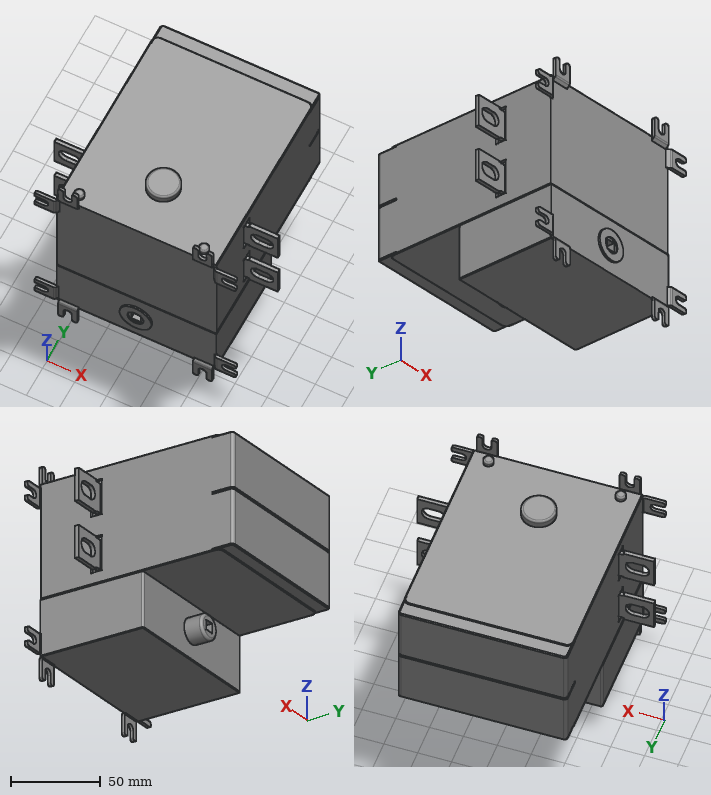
import cadquery as cq
import math


FEET_HEIGHT = 132.0
REAR_Y = 130.0
BODY_WIDTH = 100.0
HALF_WIDTH = BODY_WIDTH / 2

BODY_FRONT_Y = 2.2
BODY_BOTTOM_Z = 48.6
BODY_TOP_Z = 120.0
BODY_MID_Z = (BODY_BOTTOM_Z + BODY_TOP_Z) / 2
COVER_THICKNESS = 0.6
COVER_REAR_Y = 121.6
COVER_CORNER_RADIUS = 4.0
RIM_CHAMFER = 0.5
REAR_CORNER_RADIUS = 2.0
GROOVE_FRONT_Y = 116.1
POLE_RIM_CHAMFER = 0.7

DRIVE_FRONT_Y = 1.7
DRIVE_REAR_Y = 70.2
DRIVE_BOTTOM_Z = 13.2
DRIVE_REAR_RADIUS = 1.2

SHAFT_Z = 31.0
HUB_DIAMETER = 20.0
HUB_FRONT_Y = 0.5
SOCKET_DIAMETER = 10.0
SOCKET_DEPTH = 0.8
SQUARE_SIDE = 6.0
KNOB_DIAMETER = 16.0
KNOB_REAR_Y = 81.8
KNOB_FILLET = 1.7

BUTTON_DIAMETER = 20.0
BUTTON_Y = 34.8
BUTTON_HEIGHT = 5.0
BUTTON_FILLET = 1.2
SCREW_DIAMETER = 6.0
SCREW_X = 39.1
SCREW_Y = 8.2
SCREW_HEIGHT = 3.0
SCREW_FILLET = 1.0

TERMINAL_TIP_X = 70.0
TERMINAL_ROOT_X = 51.9
TERMINAL_Y = 39.1
TERMINAL_THICKNESS = 2.5
TERMINAL_HEIGHT = 20.0
TERMINAL_OFFSET_Z = 17.7
TERMINAL_SLOT_X = 60.2
TERMINAL_SLOT_LENGTH = 14.0
TERMINAL_SLOT_WIDTH = 8.7
NECK_FILLET = 0.5
NECK_HEIGHT = 18.3
NECK_OFFSET_Z = 17.4
WINDOW_DEPTH = 2.0
WINDOW_WIDTH = 7.2
WINDOW_HEIGHT = 22.0

FOOT_WIDTH = 12.1
FOOT_THICKNESS = 2.0
FOOT_SLOT_WIDTH = 5.2
FOOT_SLOT_DEPTH = 8.8
FOOT_TIP_RADIUS = 1.5
FOOT_LENGTH = 12.1
FOOT_BEND_ANGLE = 45.0
FOOT_BEND_RADIUS = 1.55
FOOT_INNER_CORNER_X = -0.5
FOOT_ROOT_DEPTH = 4.0
SIDE_FOOT_TIP_X = 63.2
VERTICAL_FOOT_X = 42.2
UPPER_SIDE_FOOT_Z = 111.2
LOWER_SIDE_FOOT_Z = 21.0


def box_between(x_range, y_range, z_range):
    """Axis-aligned box from its limits on each axis."""
    size = [high - low for low, high in (x_range, y_range, z_range)]
    corner = (x_range[0], y_range[0], z_range[0])
    return cq.Workplane("XY").box(*size, centered=False).translate(corner)


def cylinder_along_y(diameter, y_start, y_end):
    """Round bar on the drive shaft axis."""
    disc = cq.Workplane("XZ", origin=(0, y_start, SHAFT_Z)).circle(diameter / 2)
    return disc.extrude(y_start - y_end)


def main_body():
    """Two stacked pole housings, their chamfered rims parting at the rear and merged by a front block."""
    lower_z = BODY_BOTTOM_Z + COVER_THICKNESS
    upper_z = BODY_TOP_Z - COVER_THICKNESS
    x_range = (-HALF_WIDTH, HALF_WIDTH)
    body = box_between(x_range, (BODY_FRONT_Y, GROOVE_FRONT_Y), (lower_z, upper_z))
    for z_range in ((lower_z, BODY_MID_Z), (BODY_MID_Z, upper_z)):
        pole = box_between(x_range, (BODY_FRONT_Y, REAR_Y), z_range)
        pole = pole.edges("|Z and >Y").fillet(REAR_CORNER_RADIUS)
        body = body.union(pole.faces("<Z or >Z").edges().chamfer(POLE_RIM_CHAMFER))
    return body


def cover_plate():
    """Thin top plate with rounded rear corners and a chamfered upper rim."""
    plate = box_between(
        (-HALF_WIDTH, HALF_WIDTH),
        (BODY_FRONT_Y, COVER_REAR_Y),
        (BODY_TOP_Z - COVER_THICKNESS, BODY_TOP_Z),
    )
    plate = plate.edges("|Z and >Y").fillet(COVER_CORNER_RADIUS)
    return plate.faces(">Z").edges("not <Y").chamfer(RIM_CHAMFER)


def drive_box():
    """Lower box with the front hub and the rear knob of the drive shaft."""
    box = box_between(
        (-HALF_WIDTH, HALF_WIDTH),
        (DRIVE_FRONT_Y, DRIVE_REAR_Y),
        (DRIVE_BOTTOM_Z, BODY_BOTTOM_Z),
    )
    box = box.edges("|Z and >Y").fillet(DRIVE_REAR_RADIUS)
    box = box.faces("<Z or >Z").edges("|Y").chamfer(RIM_CHAMFER)
    hub = cylinder_along_y(HUB_DIAMETER, HUB_FRONT_Y, DRIVE_FRONT_Y)
    knob = cylinder_along_y(KNOB_DIAMETER, DRIVE_REAR_Y, KNOB_REAR_Y)
    knob = knob.faces(">Y").edges().fillet(KNOB_FILLET)
    return box.union(hub).union(knob)


def shaft_opening():
    """Round socket at the front followed by a square bore through to the rear."""
    socket = cylinder_along_y(SOCKET_DIAMETER, HUB_FRONT_Y, HUB_FRONT_Y + SOCKET_DEPTH)
    half_side = SQUARE_SIDE / 2
    bore = box_between(
        (-half_side, half_side),
        (HUB_FRONT_Y, KNOB_REAR_Y),
        (SHAFT_Z - half_side, SHAFT_Z + half_side),
    )
    return socket.union(bore)


def top_stud(x, y, diameter, height, fillet):
    """Round stud standing on the top cover, its upper edge rounded."""
    stud = cq.Workplane("XY", origin=(x, y, BODY_TOP_Z)).circle(diameter / 2).extrude(height)
    return stud.faces(">Z").edges().fillet(fillet)


def terminal(side, level):
    """Flat slotted bar on a narrower filleted neck; side and level are +1 or -1."""
    def bar(x_range, height, z):
        return box_between(
            x_range,
            (TERMINAL_Y - TERMINAL_THICKNESS / 2, TERMINAL_Y + TERMINAL_THICKNESS / 2),
            (z - height / 2, z + height / 2),
        )

    bar_z = BODY_MID_Z + level * TERMINAL_OFFSET_Z
    neck_z = BODY_MID_Z + level * NECK_OFFSET_Z
    plate = bar((TERMINAL_ROOT_X, TERMINAL_TIP_X), TERMINAL_HEIGHT, bar_z)
    neck = bar((HALF_WIDTH - WINDOW_DEPTH, TERMINAL_ROOT_X), NECK_HEIGHT, neck_z)
    at_neck_corners = cq.selectors.BoxSelector(
        (TERMINAL_ROOT_X - NECK_FILLET, 0, neck_z - NECK_HEIGHT / 2 - NECK_FILLET / 2),
        (TERMINAL_ROOT_X + NECK_FILLET, REAR_Y, neck_z + NECK_HEIGHT / 2 + NECK_FILLET / 2),
    )
    shape = plate.union(neck).edges("|Y").edges(at_neck_corners).fillet(NECK_FILLET)
    slot = (
        cq.Workplane("XZ", origin=(TERMINAL_SLOT_X, TERMINAL_Y, bar_z))
        .slot2D(TERMINAL_SLOT_LENGTH, TERMINAL_SLOT_WIDTH)
        .extrude(TERMINAL_THICKNESS, both=True)
    )
    shape = shape.cut(slot)
    return shape if side > 0 else shape.mirror("YZ")


def terminal_window(side, level):
    """Recess in the side wall around a terminal."""
    x_limits = sorted((side * HALF_WIDTH, side * (HALF_WIDTH - WINDOW_DEPTH)))
    z = BODY_MID_Z + level * NECK_OFFSET_Z
    return box_between(
        x_limits,
        (TERMINAL_Y - WINDOW_WIDTH / 2, TERMINAL_Y + WINDOW_WIDTH / 2),
        (z - WINDOW_HEIGHT / 2, z + WINDOW_HEIGHT / 2),
    )


def foot():
    """Forked foot pointing along +X, its bend starting at X = 0 and its front face on Y = 0."""
    angle = math.radians(FOOT_BEND_ANGLE)
    half_angle = angle / 2
    arc_mid = (-FOOT_BEND_RADIUS * math.sin(half_angle), FOOT_BEND_RADIUS * (1 - math.cos(half_angle)))
    arc_end = (-FOOT_BEND_RADIUS * math.sin(angle), FOOT_BEND_RADIUS * (1 - math.cos(angle)))
    root_front_x = arc_end[0] - (FOOT_ROOT_DEPTH - arc_end[1]) / math.tan(angle)
    root_back_x = FOOT_INNER_CORNER_X - (FOOT_ROOT_DEPTH - FOOT_THICKNESS) / math.tan(angle)
    sheet = (
        cq.Workplane("XY")
        .moveTo(FOOT_LENGTH, 0)
        .lineTo(0, 0)
        .threePointArc(arc_mid, arc_end)
        .lineTo(root_front_x, FOOT_ROOT_DEPTH)
        .lineTo(root_back_x, FOOT_ROOT_DEPTH)
        .lineTo(FOOT_INNER_CORNER_X, FOOT_THICKNESS)
        .lineTo(FOOT_LENGTH, FOOT_THICKNESS)
        .close()
        .extrude(FOOT_WIDTH / 2, both=True)
    )
    slot = cq.Workplane("XZ").center(FOOT_LENGTH, 0)
    slot = slot.slot2D(2 * FOOT_SLOT_DEPTH, FOOT_SLOT_WIDTH).extrude(-FOOT_THICKNESS)
    return sheet.cut(slot).edges("|Y and >X").fillet(FOOT_TIP_RADIUS)


def mounting_feet():
    """Eight feet: two pointing out of each side, two upward and two downward."""
    right_foot = foot().translate((SIDE_FOOT_TIP_X - FOOT_LENGTH, 0, 0))
    up_foot = foot().rotate((0, 0, 0), (0, 1, 0), -90).translate((0, 0, FEET_HEIGHT - FOOT_LENGTH))
    down_foot = foot().rotate((0, 0, 0), (0, 1, 0), 90).translate((0, 0, FOOT_LENGTH))
    feet = []
    for z in (LOWER_SIDE_FOOT_Z, UPPER_SIDE_FOOT_Z):
        placed = right_foot.translate((0, 0, z))
        feet += [placed, placed.mirror("YZ")]
    for x in (-VERTICAL_FOOT_X, VERTICAL_FOOT_X):
        feet += [up_foot.translate((x, 0, 0)), down_foot.translate((x, 0, 0))]
    return feet


result = main_body()
top_cover = cover_plate()
result = result.union(top_cover)
result = result.union(top_cover.mirror("XY", (0, 0, BODY_MID_Z)))
result = result.union(drive_box())
result = result.cut(shaft_opening())
result = result.union(top_stud(0, BUTTON_Y, BUTTON_DIAMETER, BUTTON_HEIGHT, BUTTON_FILLET))
for screw_x in (-SCREW_X, SCREW_X):
    result = result.union(top_stud(screw_x, SCREW_Y, SCREW_DIAMETER, SCREW_HEIGHT, SCREW_FILLET))
for side in (-1, 1):
    for level in (-1, 1):
        result = result.cut(terminal_window(side, level)).union(terminal(side, level))
for mounting_foot in mounting_feet():
    result = result.union(mounting_foot)